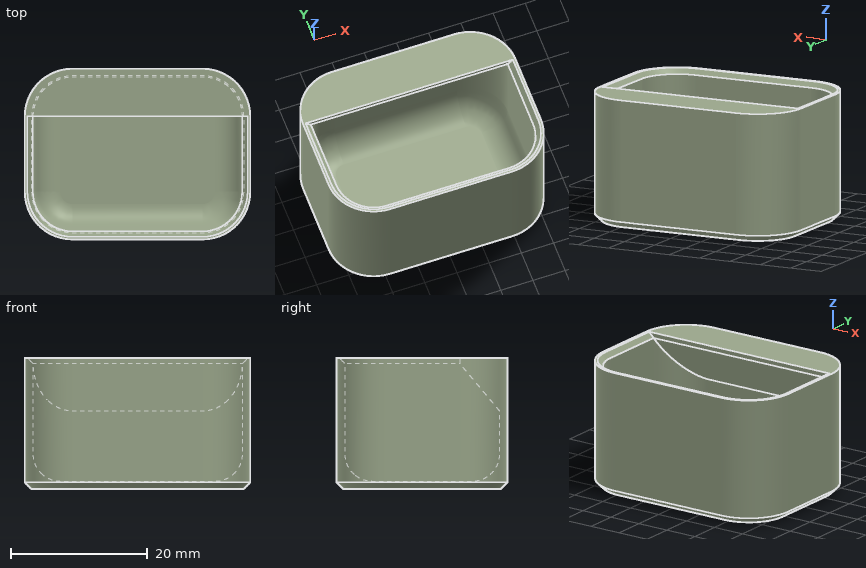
import cadquery as cq
import math

length = 33.0
width = 25.0
height = 19.2
corner_radius = 7.0
base_chamfer = 1.0

wall = 1.2
floor_thickness = 1.2
floor_fillet = 4.0
rim_chamfer = 0.8
rim_chamfer_angle = 45.0

shelf_depth = 7.0
shelf_lip = rim_chamfer
underside_angle = 50.0

cavity_length = length - 2 * wall
cavity_width = width - 2 * wall
cavity_radius = corner_radius - wall


def rounded_block(block_length, block_width, radius, bottom, top):
    """Upright block with rounded vertical edges, centred on the Z axis."""
    return (
        cq.Workplane("XY")
        .workplane(offset=bottom)
        .rect(block_length, block_width)
        .extrude(top - bottom)
        .edges("|Z")
        .fillet(radius)
    )


def make_body():
    body = rounded_block(length, width, corner_radius, 0, height)
    return body.faces("<Z").chamfer(base_chamfer)


def make_rim_flare():
    """Cavity mouth, widening upwards to the rim at 45 degrees."""
    mouth = cq.Sketch().rect(cavity_length + 2 * rim_chamfer, cavity_width + 2 * rim_chamfer)
    mouth = mouth.vertices().fillet(cavity_radius + rim_chamfer)
    return (
        cq.Workplane("XY")
        .workplane(offset=height)
        .placeSketch(mouth)
        .extrude(-rim_chamfer, taper=rim_chamfer_angle)
    )


def make_shelf_space():
    """Region at the back kept solid: a lip with a sloping underside."""
    front = width / 2 - shelf_depth
    back = width / 2
    lip_bottom = height - shelf_lip
    underside_drop = shelf_depth * math.tan(math.radians(underside_angle))
    return (
        cq.Workplane("YZ")
        .moveTo(front, height)
        .lineTo(front, lip_bottom)
        .lineTo(back, lip_bottom - underside_drop)
        .lineTo(back, height)
        .close()
        .extrude(length / 2, both=True)
    )


def make_cavity():
    cavity = rounded_block(cavity_length, cavity_width, cavity_radius, floor_thickness, height)
    cavity = cavity.faces("<Z").edges().fillet(floor_fillet)
    return cavity.union(make_rim_flare()).cut(make_shelf_space())


result = make_body().cut(make_cavity())